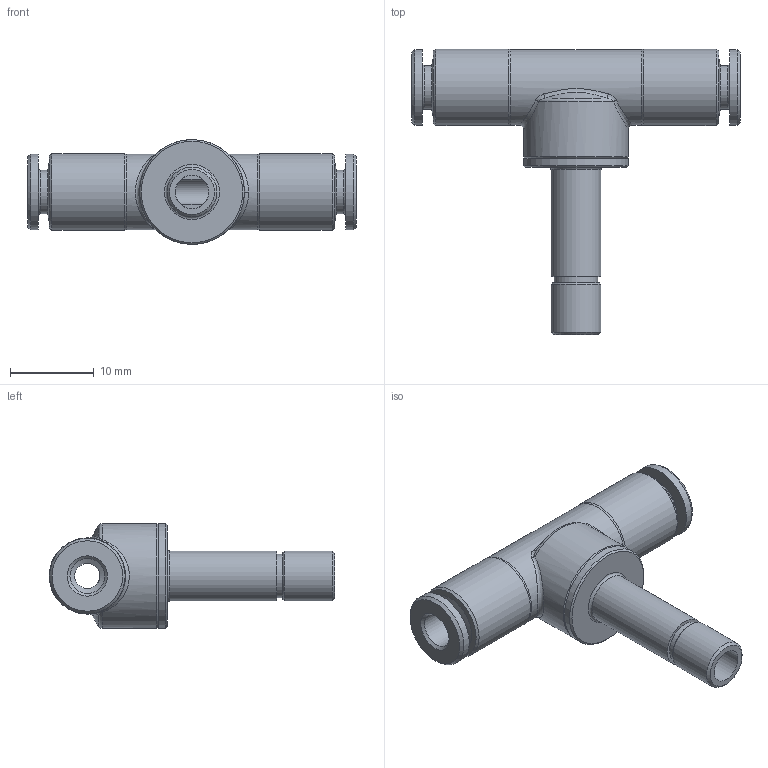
import cadquery as cq
import math

HALF_LENGTH = 19.6
TIP_DISTANCE = 29.5

RUN_RADIUS = 9.0 / 2
SLEEVE_RADIUS = 9.1 / 2
SLEEVE_START = 7.8
SLEEVE_LEAD_LENGTH = 0.25
SLEEVE_END = 17.0
SLEEVE_CHAMFER_LENGTH = 0.3
SLEEVE_CHAMFER_DEPTH = 0.2
FACE_RIM_RADIUS = 3.6
SLEEVE_FACE_TAPER = 0.2

COLLAR_RADIUS = 9.0 / 2
COLLAR_THICKNESS = 1.3
COLLAR_CHAMFER_LENGTH = 0.4
COLLAR_CHAMFER_DEPTH = 0.3
NECK_RADIUS = 5.2 / 2
NECK_FILLET = 0.2

RUN_BORE_RADIUS = 3.0 / 2
SOCKET_RADIUS = 4.15 / 2
SOCKET_DEPTH = 12.0
SOCKET_MOUTH_RADIUS = 4.8 / 2
SOCKET_FLOOR_HALF_ANGLE = 60.0

BRANCH_RADIUS = 12.5 / 2
FLANGE_RADIUS = BRANCH_RADIUS
BRANCH_CONE_ANGLE = 60.0
BRANCH_SHOULDER = 1.46
SHOULDER_ROUND = 0.5
BRANCH_END = 8.5
BRANCH_END_CHAMFER = 0.22
FLANGE_END = 9.55
FLANGE_CHAMFER = 0.2
JUNCTION_FILLET = 0.5

STEM_RADIUS = 5.95 / 2
STEM_ROOT_FILLET = 0.3
STEM_GROOVE_RADIUS = 5.2 / 2
STEM_GROOVE_START = 22.55
STEM_GROOVE_END = 23.3
STEM_GROOVE_CHAMFER = 0.2
STEM_TIP_CHAMFER = 0.3
STEM_BORE_RADIUS = 4.0 / 2

TOLERANCE = 0.001
SEAM_SAMPLES = (0.25, 0.5, 0.75)


def revolve_about_x(points):
    """Revolve a closed outline of (x, radius) points about the X axis."""
    return cq.Workplane("XY").polyline(points).close().revolve(360, (0, 0, 0), (1, 0, 0))


def revolve_about_y(points):
    """Revolve a closed outline of (distance, radius) points, distance measured along -Y."""
    outline = [(radius, -distance) for distance, radius in points]
    return cq.Workplane("XY").polyline(outline).close().revolve(360, (0, 0, 0), (0, 1, 0))


def fillet_circle(body, centre, radius, fillet_radius):
    """Round the one circular edge of a body that has this centre and radius."""
    def is_wanted(edge):
        off_centre = (edge.arcCenter() - cq.Vector(*centre)).Length
        return off_centre < TOLERANCE and abs(edge.radius() - radius) < TOLERANCE

    return body.edges("%CIRCLE").filter(is_wanted).fillet(fillet_radius)


def junction():
    """Plain run tube and conical-shouldered branch, blended together."""
    run = cq.Workplane("YZ").circle(RUN_RADIUS).extrude(SLEEVE_START, both=True)
    cone_height = BRANCH_RADIUS / math.tan(math.radians(BRANCH_CONE_ANGLE))
    branch = revolve_about_y([
        (BRANCH_SHOULDER - cone_height, 0),
        (BRANCH_SHOULDER, BRANCH_RADIUS),
        (BRANCH_END - BRANCH_END_CHAMFER, BRANCH_RADIUS),
        (BRANCH_END, BRANCH_RADIUS - BRANCH_END_CHAMFER),
        (BRANCH_END, 0),
    ])
    branch = fillet_circle(branch, (0, -BRANCH_SHOULDER, 0), BRANCH_RADIUS, SHOULDER_ROUND)
    body = run.union(branch)

    def is_seam(edge):
        """Tell whether an edge is part of the curve where the branch meets the run."""
        samples = [edge.positionAt(fraction) for fraction in SEAM_SAMPLES]
        on_run = all(abs(math.hypot(p.y, p.z) - RUN_RADIUS) < TOLERANCE for p in samples)
        return on_run and edge.Center().y < 0 and edge.geomType() == "BSPLINE"

    return body.edges().filter(is_seam).fillet(JUNCTION_FILLET)


def push_in_end():
    """Sleeve, neck and release collar at the +X end of the run."""
    neck_start = SLEEVE_END + SLEEVE_FACE_TAPER
    collar_start = HALF_LENGTH - COLLAR_THICKNESS
    body = revolve_about_x([
        (SLEEVE_START, 0),
        (SLEEVE_START, RUN_RADIUS),
        (SLEEVE_START + SLEEVE_LEAD_LENGTH, SLEEVE_RADIUS),
        (SLEEVE_END - SLEEVE_CHAMFER_LENGTH, SLEEVE_RADIUS),
        (SLEEVE_END, SLEEVE_RADIUS - SLEEVE_CHAMFER_DEPTH),
        (SLEEVE_END, FACE_RIM_RADIUS),
        (neck_start, NECK_RADIUS),
        (collar_start, NECK_RADIUS),
        (collar_start, COLLAR_RADIUS),
        (HALF_LENGTH - COLLAR_CHAMFER_LENGTH, COLLAR_RADIUS),
        (HALF_LENGTH, COLLAR_RADIUS - COLLAR_CHAMFER_DEPTH),
        (HALF_LENGTH, 0),
    ])
    return fillet_circle(body, (collar_start, 0, 0), NECK_RADIUS, NECK_FILLET)


def run_bore():
    """Through bore of the run with a tube socket opening at each end."""
    socket_floor = HALF_LENGTH - SOCKET_DEPTH
    floor_length = (SOCKET_RADIUS - RUN_BORE_RADIUS) / math.tan(math.radians(SOCKET_FLOOR_HALF_ANGLE))
    mouth_chamfer = SOCKET_MOUTH_RADIUS - SOCKET_RADIUS
    right_half = [
        (socket_floor - floor_length, RUN_BORE_RADIUS),
        (socket_floor, SOCKET_RADIUS),
        (HALF_LENGTH - mouth_chamfer, SOCKET_RADIUS),
        (HALF_LENGTH, SOCKET_MOUTH_RADIUS),
        (HALF_LENGTH, 0),
    ]
    left_half = [(-x, radius) for x, radius in reversed(right_half)]
    return revolve_about_x(left_half + right_half)


def flange_and_stem():
    """Flange that closes the branch and the plug stem that leaves it."""
    body = revolve_about_y([
        (BRANCH_END, 0),
        (BRANCH_END, FLANGE_RADIUS),
        (FLANGE_END - FLANGE_CHAMFER, FLANGE_RADIUS),
        (FLANGE_END, FLANGE_RADIUS - FLANGE_CHAMFER),
        (FLANGE_END, STEM_RADIUS),
        (STEM_GROOVE_START, STEM_RADIUS),
        (STEM_GROOVE_START, STEM_GROOVE_RADIUS),
        (STEM_GROOVE_END, STEM_GROOVE_RADIUS),
        (STEM_GROOVE_END, STEM_RADIUS - STEM_GROOVE_CHAMFER),
        (STEM_GROOVE_END + STEM_GROOVE_CHAMFER, STEM_RADIUS),
        (TIP_DISTANCE - STEM_TIP_CHAMFER, STEM_RADIUS),
        (TIP_DISTANCE, STEM_RADIUS - STEM_TIP_CHAMFER),
        (TIP_DISTANCE, 0),
    ])
    return fillet_circle(body, (0, -FLANGE_END, 0), STEM_RADIUS, STEM_ROOT_FILLET)


def stem_bore():
    """Bore of the stem, from its tip to the run axis."""
    return cq.Workplane("XZ").circle(STEM_BORE_RADIUS).extrude(TIP_DISTANCE)


end_piece = push_in_end()
result = junction().union(flange_and_stem())
result = result.union(end_piece).union(end_piece.mirror("YZ"))
result = result.cut(run_bore()).cut(stem_bore())